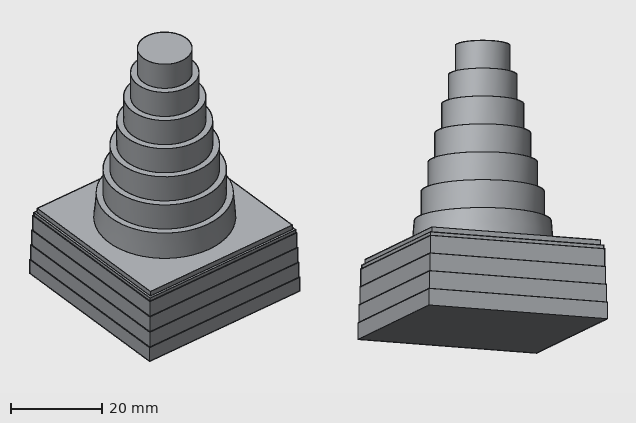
import cadquery as cq

height = 63.2
base_width = 42.0
course_width_step = 0.3
course_heights = [3.7, 4.0, 4.0, 4.0, 0.8]
top_slab_width = 39.7
top_slab_height = 1.2

foot_bottom_diameter = 31.1
foot_top_diameter = 30.0
drum_count = 6
drum_height = 6.5
top_drum_diameter = 12
drum_diameter_step = 3.0


def square_slab(z, width, slab_height):
    return cq.Workplane("XY", origin=(0, 0, z)).rect(width, width).extrude(slab_height)


result = square_slab(0, base_width, course_heights[0])
level = course_heights[0]
for course, course_height in enumerate(course_heights[1:], start=1):
    course_width = base_width - course * course_width_step
    result = result.union(square_slab(level, course_width, course_height))
    level += course_height

result = result.union(square_slab(level, top_slab_width, top_slab_height))
plinth_top = level + top_slab_height

foot_top = height - drum_count * drum_height
profile = (
    cq.Workplane("XZ")
    .moveTo(0, plinth_top)
    .lineTo(foot_bottom_diameter / 2, plinth_top)
    .lineTo(foot_top_diameter / 2, foot_top)
)
for drum in range(drum_count):
    drums_above = drum_count - 1 - drum
    radius = (top_drum_diameter + drums_above * drum_diameter_step) / 2
    drum_bottom = foot_top + drum * drum_height
    profile = profile.lineTo(radius, drum_bottom).lineTo(radius, drum_bottom + drum_height)
column = profile.lineTo(0, height).close().revolve(360, (0, 0, 0), (0, 1, 0))

result = result.union(column)